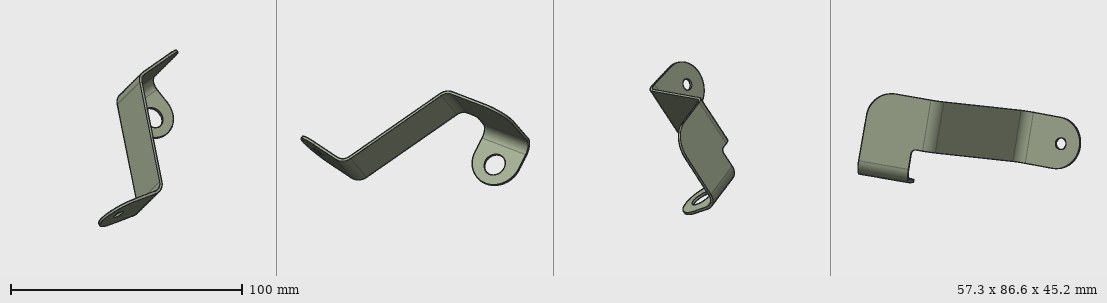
import cadquery as cq
import math

thickness = 1.2
outer_radius = 6.0
inner_radius = outer_radius - thickness

tilt_angle = 35.0

strap_width = 22.4
web_turn = 58.0
tab_turn = 69.5
plate_length = 27.4
web_length = 47.7
tab_straight_length = 12.9
tab_round_radius = strap_width / 2
tab_hole_diameter = 5.0
tab_hole_offset = 2.2

lug_width = 22.4
plate_height = 31.2
plate_corner_radius = 11.2
plate_taper = 0.25
notch_radius = 2.0
lug_turn = 90.0
lug_straight_length = 7.0
lug_round_radius = lug_width / 2
lug_hole_diameter = 9.6
lug_hole_offset = 2.0


def flat_strip(section, width, length):
    """Flat strip that leaves the section plane along its normal."""
    return cq.Workplane(section).rect(thickness, width, centered=(False, True)).extrude(length)


def bent_strip(section, width, angle, towards_x):
    """Bent strip turning towards or away from the section x axis, and the section plane at its far end."""
    if towards_x:
        centre = outer_radius
        turn = 1
    else:
        centre = -inner_radius
        turn = -1
    strip = (
        cq.Workplane(section)
        .rect(thickness, width, centered=(False, True))
        .revolve(angle, (centre, 0), (centre, turn))
    )
    angle_rad = math.radians(angle)
    sideways = centre * (1 - math.cos(angle_rad))
    forward = abs(centre) * math.sin(angle_rad)
    heading = section.zDir * math.cos(angle_rad) + section.xDir * (turn * math.sin(angle_rad))
    across = section.xDir * math.cos(angle_rad) - section.zDir * (turn * math.sin(angle_rad))
    far_end = cq.Plane(section.toWorldCoords((sideways, 0, forward)), across, heading)
    return strip, far_end


def round_ended_tab(section, width, straight, radius, hole_diameter, hole_offset):
    """Flat tab leaving the section, with a round end and one hole."""
    face = cq.Plane(section.origin, section.zDir, section.xDir)
    half = width / 2
    tab = (
        cq.Workplane(face)
        .moveTo(0, -half)
        .lineTo(straight, -half)
        .threePointArc((straight + radius, 0), (straight, half))
        .lineTo(0, half)
        .close()
        .extrude(thickness)
    )
    hole = (
        cq.Workplane(face)
        .center(straight + hole_offset, 0)
        .circle(hole_diameter / 2)
        .extrude(thickness)
    )
    return tab.cut(hole)


def mounting_plate():
    """Flat plate in the YZ plane with a rounded top corner and a filleted notch."""
    free_edge = -plate_taper
    diagonal = plate_corner_radius * (1 - math.cos(math.pi / 4))
    return (
        cq.Workplane("YZ")
        .moveTo(-plate_length, 0)
        .lineTo(free_edge - plate_corner_radius, 0)
        .threePointArc((free_edge - diagonal, -diagonal), (free_edge, -plate_corner_radius))
        .lineTo(0, -plate_height)
        .lineTo(-lug_width, -plate_height)
        .lineTo(-lug_width, -strap_width - notch_radius)
        .radiusArc((-lug_width - notch_radius, -strap_width), -notch_radius)
        .lineTo(-plate_length, -strap_width)
        .close()
        .extrude(thickness)
    )


def strap():
    """Two bends, sloping web and end tab beyond the mounting plate."""
    start = cq.Plane((0, -plate_length, -strap_width / 2), (1, 0, 0), (0, -1, 0))
    first_bend, web_start = bent_strip(start, strap_width, web_turn, True)
    web = flat_strip(web_start, strap_width, web_length)
    web_end = cq.Plane(web_start.toWorldCoords((0, 0, web_length)), web_start.xDir, web_start.zDir)
    second_bend, tab_start = bent_strip(web_end, strap_width, tab_turn, False)
    tab = round_ended_tab(
        tab_start, strap_width, tab_straight_length, tab_round_radius, tab_hole_diameter, tab_hole_offset
    )
    return first_bend.union(web).union(second_bend).union(tab)


def lug():
    """Right-angle bend below the mounting plate and the round-ended lug."""
    start = cq.Plane((0, -lug_width / 2, -plate_height), (1, 0, 0), (0, 0, -1))
    bend, lug_start = bent_strip(start, lug_width, lug_turn, True)
    tab = round_ended_tab(
        lug_start, lug_width, lug_straight_length, lug_round_radius, lug_hole_diameter, lug_hole_offset
    )
    return bend.union(tab)


bracket = mounting_plate().union(strap()).union(lug())
result = bracket.rotate((0, 0, 0), (0, 1, 0), tilt_angle)